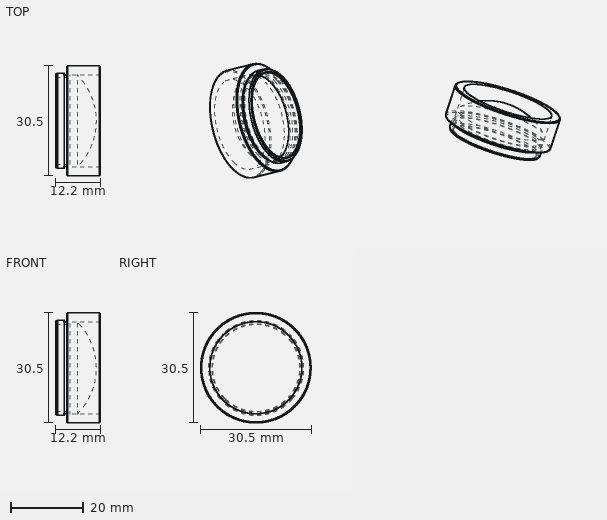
import cadquery as cq
import math

LENGTH = 12.2
BODY_RADIUS = 15.25
BODY_START = 3.05
BODY_CHAMFER = 0.27

THREAD_RADIUS = 13.15
THREAD_END = 2.3
THREAD_CHAMFER_LENGTH = 0.5
THREAD_CHAMFER_DEPTH = 0.27
RELIEF_RADIUS = 12.65

BORE_RADIUS = 12.0
BORE_CHAMFER = 0.2
SEAT_X = 3.87

LENS_RADIUS = 12.7
LENS_EDGE_THICKNESS = 1.98
LENS_CURVATURE_RADIUS = 18.0
LENS_SAG = LENS_CURVATURE_RADIUS - math.sqrt(LENS_CURVATURE_RADIUS**2 - LENS_RADIUS**2)


def revolve_about_x(profile):
    """Turn a closed half profile, drawn as (x, radius), about the X axis."""
    return profile.close().revolve(360, (0, 0, 0), (1, 0, 0))


def make_housing():
    """Stepped tube: chamfered barrel, thread land, relief groove and stepped bore."""
    profile = cq.Workplane("XY").polyline([
        (0, THREAD_RADIUS - THREAD_CHAMFER_DEPTH),
        (THREAD_CHAMFER_LENGTH, THREAD_RADIUS),
        (THREAD_END, THREAD_RADIUS),
        (THREAD_END, RELIEF_RADIUS),
        (BODY_START, RELIEF_RADIUS),
        (BODY_START, BODY_RADIUS - BODY_CHAMFER),
        (BODY_START + BODY_CHAMFER, BODY_RADIUS),
        (LENGTH - BODY_CHAMFER, BODY_RADIUS),
        (LENGTH, BODY_RADIUS - BODY_CHAMFER),
        (LENGTH, LENS_RADIUS),
        (SEAT_X, LENS_RADIUS),
        (SEAT_X, BORE_RADIUS),
        (BORE_CHAMFER, BORE_RADIUS),
        (0, BORE_RADIUS + BORE_CHAMFER),
    ])
    return revolve_about_x(profile)


def make_lens():
    """Plano-convex lens that fills the lens bore and rests on the step."""
    edge_x = SEAT_X + LENS_EDGE_THICKNESS
    apex_x = edge_x + LENS_SAG
    center_x = apex_x - LENS_CURVATURE_RADIUS
    half_angle = math.asin(LENS_RADIUS / LENS_CURVATURE_RADIUS) / 2
    arc_middle = (
        center_x + LENS_CURVATURE_RADIUS * math.cos(half_angle),
        LENS_CURVATURE_RADIUS * math.sin(half_angle),
    )
    profile = (
        cq.Workplane("XY")
        .moveTo(SEAT_X, 0)
        .lineTo(SEAT_X, LENS_RADIUS)
        .lineTo(edge_x, LENS_RADIUS)
        .threePointArc(arc_middle, (apex_x, 0))
    )
    return revolve_about_x(profile)


housing = make_housing()
lens = make_lens()

result = cq.Compound.makeCompound([housing.val(), lens.val()])